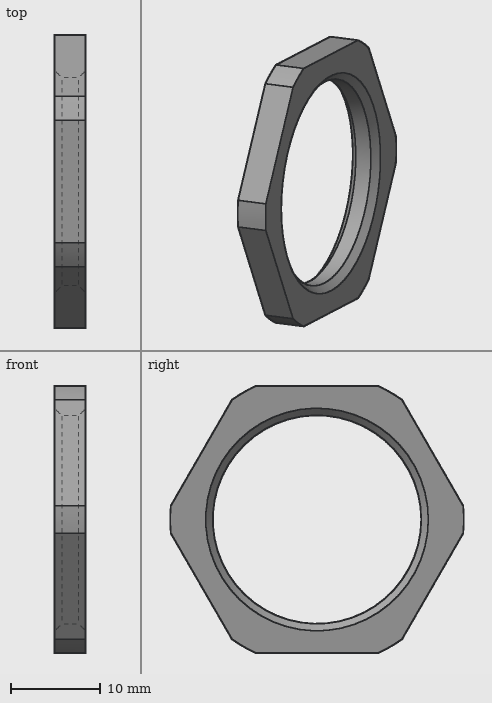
import cadquery as cq
import math

thickness = 3.5
across_flats = 30.0
sharp_corner_diameter = across_flats / math.cos(math.pi / 6)
corner_diameter = 33.0
bore_diameter = 23.38
countersink_diameter = 25.0
countersink_depth = (countersink_diameter - bore_diameter) / 2


def hexagonal_blank():
    """Hexagonal plate with flats at +Z and -Z, with corners turned to the corner diameter."""
    hexagon = cq.Workplane("YZ").polygon(6, sharp_corner_diameter).extrude(thickness)
    turned_disc = cq.Workplane("YZ").circle(corner_diameter / 2).extrude(thickness)
    return hexagon.intersect(turned_disc)


def bore_cutter():
    """Through bore, widened by a countersink at both faces; revolved about the X axis."""
    bore_radius = bore_diameter / 2
    opening_radius = countersink_diameter / 2
    return (
        cq.Workplane("XY")
        .moveTo(0, 0)
        .lineTo(0, opening_radius)
        .lineTo(countersink_depth, bore_radius)
        .lineTo(thickness - countersink_depth, bore_radius)
        .lineTo(thickness, opening_radius)
        .lineTo(thickness, 0)
        .close()
        .revolve(360, (0, 0, 0), (1, 0, 0))
    )


result = hexagonal_blank().cut(bore_cutter())